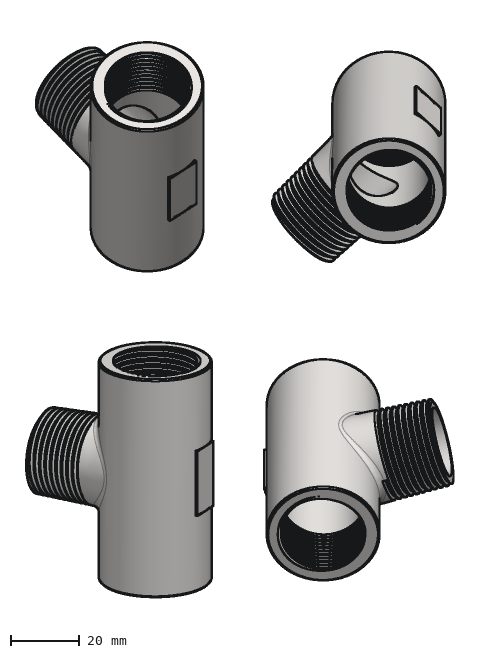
import cadquery as cq
import math

body_diameter = 33.0
body_length = 67.5
body_chamfer = 0.5
run_bore_diameter = 24.66

pad_width = 10.0
pad_height = 20.0

branch_reach = 36.0
branch_tip_diameter = 25.8
branch_bore_diameter = 20.6
branch_taper = 1.0 / 16.0
branch_fillet = 2.0

pitch = 25.4 / 14.0
flank_half_angle = math.radians(27.5)
thread_flat = pitch / 6.0
male_thread_depth = 1.162
male_thread_turns = 9.5
female_major_diameter = 26.44
female_thread_turns = 10
cutter_overlap = 0.2

body_radius = body_diameter / 2.0
half_length = body_length / 2.0
run_bore_radius = run_bore_diameter / 2.0
tip_radius = branch_tip_diameter / 2.0
radius_slope = branch_taper / 2.0
female_major_radius = female_major_diameter / 2.0


def make_groove_cutter(root_radius, surface_radius, start_z, length, slope=0.0):
    """Right-handed V groove about Z, swept from start_z and starting on the +X side.

    Both radii are taken at start_z; slope is the radius gained per unit of Z.
    """
    outward = math.copysign(1.0, surface_radius - root_radius)
    mouth_radius = surface_radius + outward * cutter_overlap
    root_half = thread_flat / 2.0
    mouth_half = root_half + abs(mouth_radius - root_radius) * math.tan(flank_half_angle)
    if slope:
        helix = cq.Wire.makeHelix(pitch, length, root_radius, angle=math.degrees(math.atan(slope)))
    else:
        helix = cq.Wire.makeHelix(pitch, length, root_radius)
    groove = (
        cq.Workplane("XZ")
        .polyline([
            (root_radius, -root_half),
            (mouth_radius, -mouth_half),
            (mouth_radius, mouth_half),
            (root_radius, root_half),
        ])
        .close()
        .sweep(cq.Workplane(obj=helix), isFrenet=True)
    )
    return groove.translate((0, 0, start_z))


def make_centred_cylinder(radius):
    """Cylinder along Z, as long as the body."""
    return cq.Workplane("XY").circle(radius).extrude(body_length).translate((0, 0, -half_length))


def make_blank():
    """Body and tapered branch, blended together."""
    body = make_centred_cylinder(body_radius).faces("<Z or >Z").chamfer(body_chamfer)
    branch = (
        cq.Workplane("XZ")
        .polyline([
            (-branch_reach, 0),
            (-branch_reach, tip_radius),
            (0, tip_radius + radius_slope * branch_reach),
            (0, 0),
        ])
        .close()
        .revolve(360, (0, 0, 0), (1, 0, 0))
    )
    blank = body.union(branch)
    joint_zone = cq.selectors.BoxSelector(
        (-body_radius, -body_radius, -body_radius), (0, body_radius, body_radius)
    )
    return blank.edges(joint_zone).fillet(branch_fillet)


def make_pad():
    return cq.Workplane("XY").box(body_radius, pad_width, pad_height, centered=(False, True, True))


def cut_bores(part):
    run_bore = make_centred_cylinder(run_bore_radius)
    branch_bore = cq.Workplane("YZ").circle(branch_bore_diameter / 2.0).extrude(-branch_reach)
    return part.cut(run_bore).cut(branch_bore)


def make_male_groove():
    """Groove of the branch thread; it enters before the tip and ends after the last turn."""
    lead_in = 1.5 * pitch
    start_surface = tip_radius - radius_slope * lead_in
    groove = make_groove_cutter(
        start_surface - male_thread_depth,
        start_surface,
        -lead_in,
        lead_in + male_thread_turns * pitch,
        radius_slope,
    )
    return groove.rotate((0, 0, 0), (0, 1, 0), 90).translate((-branch_reach, 0, 0))


def make_female_groove():
    """Groove of the upper run thread; it leaves through the top face."""
    lead_out = pitch
    length = female_thread_turns * pitch
    return make_groove_cutter(
        female_major_radius, run_bore_radius, half_length - length, length + lead_out
    )


def cut_threads(part):
    upper_groove = make_female_groove()
    lower_groove = upper_groove.rotate((0, 0, 0), (1, 0, 0), 180)
    return part.cut(make_male_groove()).cut(upper_groove).cut(lower_groove)


tee = cut_bores(cut_threads(make_blank().union(make_pad())))
result = cq.Workplane(obj=tee.solids().val())